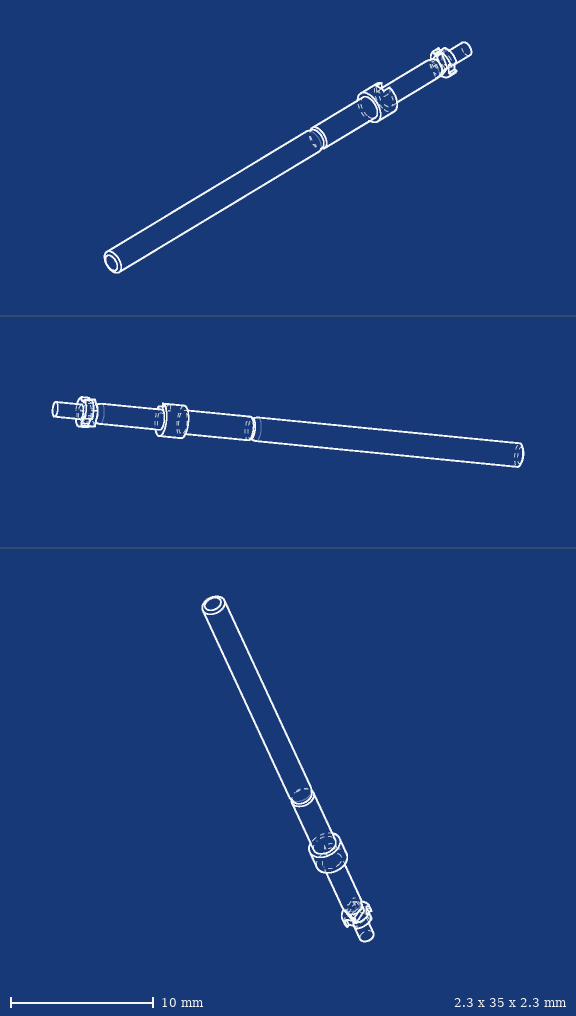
import cadquery as cq
import math

LENGTH = 35.0
TIP_Y = LENGTH / 2

DISC_START = 1.92
DISC_END = 2.5
SPADE_END = 2.98
SHANK_START = 3.4
COLLAR_START = 7.95
COLLAR_END = 9.6
GROOVE_START = 14.6
GROOVE_ROOT = 14.77
GROOVE_END = 15.15
TAIL_CHAMFER_LENGTH = 0.15

PIN_RADIUS = 0.52
DISC_RADIUS = 1.05
NECK_RADIUS = 0.63
SHANK_RADIUS = 0.718
COLLAR_RADIUS = 1.15
BARREL_RADIUS = 0.85
GROOVE_ROOT_RADIUS = 0.75
TAIL_END_RADIUS = 0.6

SPADE_HALF_WIDTH = 0.63
SPADE_TIP_RADIUS = 0.98
SPADE_CORE_RADIUS = 0.52
SPADE_HALF_HEIGHT = SPADE_HALF_WIDTH * math.tan(math.radians(60))

DISC_SLOT_COUNT = 3
DISC_SLOT_WIDTH = 0.7
DISC_SLOT_FLOOR = 0.77

KEY_WIDTH = 0.77
KEY_LENGTH = 0.55


def plane_at(station):
    """Cross-section plane at a station, facing the tail, local x along X and local y along +Z."""
    return cq.Plane(origin=(0, TIP_Y - station, 0), xDir=(1, 0, 0), normal=(0, -1, 0))


def turned_body():
    """Pin, disc, neck, shank, collar, grooved barrel and chamfered tail as one revolved outline."""
    outline = [
        (0, 0),
        (PIN_RADIUS, 0),
        (PIN_RADIUS, DISC_START),
        (DISC_RADIUS, DISC_START),
        (DISC_RADIUS, DISC_END),
        (SPADE_CORE_RADIUS, DISC_END),
        (SPADE_CORE_RADIUS, SPADE_END),
        (NECK_RADIUS, SPADE_END),
        (SHANK_RADIUS, SHANK_START),
        (SHANK_RADIUS, COLLAR_START),
        (COLLAR_RADIUS, COLLAR_START),
        (COLLAR_RADIUS, COLLAR_END),
        (BARREL_RADIUS, COLLAR_END),
        (BARREL_RADIUS, GROOVE_START),
        (GROOVE_ROOT_RADIUS, GROOVE_ROOT),
        (BARREL_RADIUS, GROOVE_END),
        (BARREL_RADIUS, LENGTH - TAIL_CHAMFER_LENGTH),
        (TAIL_END_RADIUS, LENGTH),
        (0, LENGTH),
    ]
    points = [(radius, TIP_Y - station) for radius, station in outline]
    return cq.Workplane("XY").polyline(points).close().revolve(360, (0, 0), (0, 1))


def spade():
    """Diamond bar behind the disc, its upper and lower points rounded off inside the disc rim."""
    length = SPADE_END - DISC_END
    diamond = (
        cq.Workplane(plane_at(DISC_END))
        .polyline([
            (SPADE_HALF_WIDTH, 0),
            (0, SPADE_HALF_HEIGHT),
            (-SPADE_HALF_WIDTH, 0),
            (0, -SPADE_HALF_HEIGHT),
        ])
        .close()
        .extrude(length)
    )
    envelope = cq.Workplane(plane_at(DISC_END)).circle(SPADE_TIP_RADIUS).extrude(length)
    return diamond.intersect(envelope)


def disc_slots():
    """Radial rim slots through the disc, the first along +X, cut from well outside the rim."""
    slot_depth = COLLAR_RADIUS - DISC_SLOT_FLOOR
    return (
        cq.Workplane(plane_at(DISC_START))
        .polarArray(DISC_SLOT_FLOOR + slot_depth / 2, 0, 360, DISC_SLOT_COUNT)
        .rect(slot_depth, DISC_SLOT_WIDTH)
        .extrude(DISC_END - DISC_START)
    )


def key_slot():
    """Slot in the top of the collar, open to the front, cut down to the round shank."""
    slot_end = COLLAR_START + KEY_LENGTH
    block = (
        cq.Workplane("XY")
        .box(KEY_WIDTH, KEY_LENGTH, COLLAR_RADIUS, centered=(True, False, False))
        .translate((0, TIP_Y - slot_end, 0))
    )
    shank = cq.Workplane(plane_at(COLLAR_START)).circle(SHANK_RADIUS).extrude(KEY_LENGTH)
    return block.cut(shank)


result = turned_body().cut(disc_slots()).union(spade()).cut(key_slot())